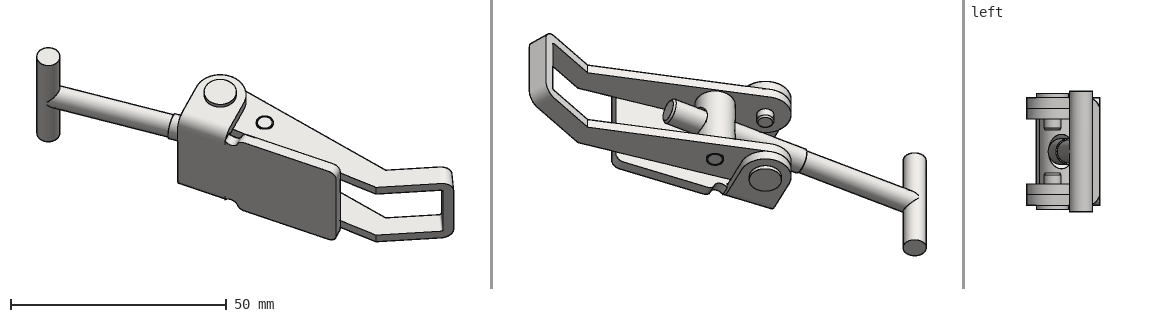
import cadquery as cq
import math


sheet = 2.5
bend_inner_radius = 0.5
bend_outer_radius = bend_inner_radius + sheet

bracket_width = 25.0
ear_radius = 6.0
base_depth = 11.0
base_end_x = 34.1
base_corner_radius = 2.0
relief_low_x = 7.5
relief_radius = 1.75

lever_width = bracket_width - 2 * sheet
lever_inner_width = lever_width - 2 * sheet
bend_x = 43.4
bend_low_y = -9.15
handle_width = 5.0
handle_angle = math.radians(28.0)
handle_tip_x = 59.4

head_diameter = 7.5
head_height = 1.0
shank_diameter = 4.0
shank_overhang = 2.5
shank_chamfer_length = 0.5
shank_chamfer_width = 0.3

trunnion_x = 12.0
trunnion_y = -1.65
barrel_diameter = 9.4
journal_diameter = 4.0
journal_chamfer = 0.3

bolt_tilt = 5.4
bolt_total_length = 65.25
thread_length = 35.1
tip_beyond_trunnion = 12.4
tip_chamfer = 0.5
thread_diameter = 6.0
rod_diameter = 5.4
bar_length = 28.0
countersink_diameter = 8.0


def cylinder_z(diameter, z_low, z_high, x=0.0, y=0.0):
    """Upright cylinder between two Z levels."""
    return cq.Workplane("XY", origin=(x, y, z_low)).circle(diameter / 2).extrude(z_high - z_low)


def make_relief_notch():
    """Cutter for the +Z relief notch: a hollow that sweeps up into the plate edge."""
    half = bracket_width / 2
    floor = half - sheet
    ear_side_run = relief_low_x - ear_radius
    ear_side_rise = relief_radius - math.sqrt(relief_radius**2 - ear_side_run**2)

    sweep_run = relief_radius * math.sin(math.acos(1 - sheet / (2 * relief_radius)))
    return (
        cq.Workplane("XZ", origin=(0, sheet - base_depth, 0))
        .moveTo(ear_radius, half)
        .lineTo(ear_radius, floor + ear_side_rise)
        .radiusArc((relief_low_x, floor), -relief_radius)
        .radiusArc((relief_low_x + sweep_run, half - sheet / 2), -relief_radius)
        .radiusArc((relief_low_x + 2 * sweep_run, half), relief_radius)
        .close()
        .extrude(sheet)
    )


def make_bracket():
    half = bracket_width / 2
    inner_half = half - sheet

    channel = (
        cq.Workplane("XY")
        .box(2 * ear_radius, base_depth, bracket_width)
        .translate((0, -base_depth / 2, 0))
        .edges("|X and <Y")
        .fillet(bend_outer_radius)
        .union(cylinder_z(2 * ear_radius, -half, half))
    )
    cavity_depth = base_depth - sheet
    cavity_height = cavity_depth + 2 * ear_radius
    cavity = (
        cq.Workplane("XY")
        .box(2 * ear_radius, cavity_height, 2 * inner_half)
        .translate((0, cavity_height / 2 - cavity_depth, 0))
        .edges("|X and <Y")
        .fillet(bend_inner_radius)
    )
    channel = channel.cut(cavity)

    plate = (
        cq.Workplane("XY")
        .box(base_end_x - ear_radius, sheet, bracket_width, centered=(False, False, True))
        .translate((ear_radius, -base_depth, 0))
        .edges("|Y and >X")
        .fillet(base_corner_radius)
    )
    notch = make_relief_notch()
    plate = plate.cut(notch).cut(notch.mirror("XY"))

    bracket = channel.union(plate)
    return bracket.cut(cylinder_z(shank_diameter, -half, half))


def tangent_point(x, y, side):
    """Point where the line from (x, y) touches the ear circle; side is 1 above, -1 below."""
    angle = math.atan2(y, x) + side * math.acos(ear_radius / math.hypot(x, y))
    return ear_radius * math.cos(angle), ear_radius * math.sin(angle)


def make_lever():
    half = lever_width / 2
    bend_high_y = bend_low_y + handle_width / math.cos(handle_angle)
    tip_low = (handle_tip_x, bend_low_y + (handle_tip_x - bend_x) * math.tan(handle_angle))
    tip_high = (
        tip_low[0] - handle_width * math.sin(handle_angle),
        tip_low[1] + handle_width * math.cos(handle_angle),
    )
    block = (
        cq.Workplane("XY", origin=(0, 0, -half))
        .moveTo(*tangent_point(bend_x, bend_high_y, 1))
        .threePointArc((-ear_radius, 0), tangent_point(bend_x, bend_low_y, -1))
        .lineTo(bend_x, bend_low_y)
        .lineTo(*tip_low)
        .lineTo(*tip_high)
        .lineTo(bend_x, bend_high_y)
        .close()
        .extrude(lever_width)
    )
    handle_edge = cq.selectors.ParallelDirSelector(
        cq.Vector(tip_high[0] - tip_low[0], tip_high[1] - tip_low[1], 0)
    )
    block = block.edges(handle_edge).fillet(bend_outer_radius)

    opening_length = handle_tip_x + ear_radius + base_depth
    opening = (
        cq.Workplane("XY")
        .box(opening_length, 4 * base_depth, lever_inner_width)
        .edges("|Y and >X")
        .fillet(bend_inner_radius)
        .translate((-opening_length / 2 - sheet, 0, 0))
        .rotate((0, 0, 0), (0, 0, 1), math.degrees(handle_angle))
        .translate((*tip_low, 0))
    )
    arm_opening = (
        cq.Workplane("XY")
        .box(bend_x + 2 * ear_radius, 4 * base_depth, lever_inner_width)
        .translate((bend_x / 2 - ear_radius, 0, 0))
    )
    lever = block.cut(opening).cut(arm_opening)
    lever = lever.cut(cylinder_z(shank_diameter, -half, half))
    return lever.cut(cylinder_z(journal_diameter, -half, half, trunnion_x, trunnion_y))


def make_rivet(side):
    """Headed pivot rivet; side is 1 for the +Z end and -1 for the -Z end."""
    seat = bracket_width / 2
    tip = lever_inner_width / 2 - shank_overhang
    rivet = (
        cylinder_z(shank_diameter, tip, seat)
        .faces("<Z")
        .chamfer(shank_chamfer_length, shank_chamfer_width)
        .union(cylinder_z(head_diameter, seat, seat + head_height))
    )
    return rivet if side > 0 else rivet.mirror("XY")


def make_journal():
    """Trunnion journal running through both lever arms, chamfered at its ends."""
    half = lever_width / 2
    return (
        cylinder_z(journal_diameter, -half, half, trunnion_x, trunnion_y)
        .faces("<Z or >Z")
        .chamfer(journal_chamfer)
    )


def place_on_bolt_axis(shape):
    """Move a shape built about the X axis onto the tilted bolt axis through the trunnion."""
    return shape.rotate((0, 0, 0), (0, 0, 1), bolt_tilt).translate((trunnion_x, trunnion_y, 0))


def cylinder_x(diameter, x_low, x_high):
    """Cylinder about the X axis."""
    return cq.Workplane("YZ", origin=(x_low, 0, 0)).circle(diameter / 2).extrude(x_high - x_low)


def make_trunnion():
    half = lever_inner_width / 2
    barrel = cylinder_z(barrel_diameter, -half, half, trunnion_x, trunnion_y)
    radius = barrel_diameter / 2
    countersink = (
        cq.Workplane("XZ")
        .moveTo(radius - countersink_diameter / 2, 0)
        .lineTo(radius, countersink_diameter / 2)
        .lineTo(radius, 0)
        .close()
        .revolve(360, (0, 0, 0), (1, 0, 0))
    )
    bore = (
        cylinder_x(thread_diameter, -radius, radius)
        .union(countersink)
        .union(countersink.mirror("YZ"))
    )
    return barrel.union(make_journal()).cut(place_on_bolt_axis(bore))


def make_bolt():
    bar_x = tip_beyond_trunnion - bolt_total_length
    thread_start = tip_beyond_trunnion - thread_length
    bar = cylinder_z(rod_diameter, -bar_length / 2, bar_length / 2, bar_x)
    rod = cylinder_x(rod_diameter, bar_x, thread_start)
    thread = cylinder_x(thread_diameter, thread_start, tip_beyond_trunnion)
    thread = thread.faces(">X").chamfer(tip_chamfer)
    return place_on_bolt_axis(bar.union(rod).union(thread))


bracket = make_bracket()
lever = make_lever()
trunnion = make_trunnion()
bolt = make_bolt()
rivets = [make_rivet(side) for side in (1, -1)]

result = cq.Compound.makeCompound(
    [bracket.val(), lever.val(), trunnion.val(), bolt.val(), *[rivet.val() for rivet in rivets]]
)